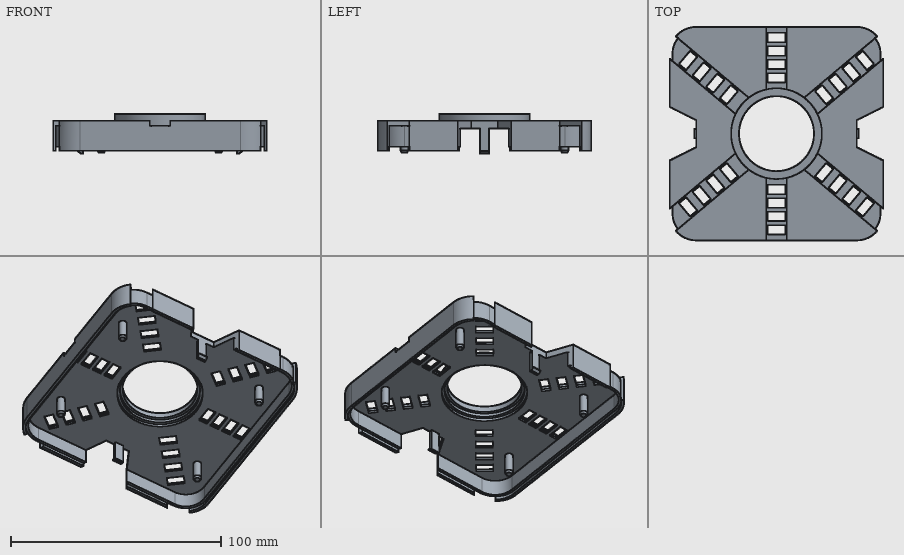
import cadquery as cq

total_height = 18.9
deck_top = 15.6
groove_floor = 13.2
deck_underside = 11.9
inner_wall_bottom = 3.1
skin_bottom = 1.2
pin_bottom = 0.4

side = 101.6
corner_radius = 12.7
skin_thickness = 1.3
wall_depth = 2.5

notch_mouth = 25.4
notch_end_width = 12.8
notch_end_x = 38.2

ring_diameter = 43.2
bore_diameter = 35.6
middle_bore_diameter = 38.1
lower_bore_diameter = 40.6
middle_bore_top = 15.4
lower_bore_top = 13.5

groove_width = 10.0
diagonal_angle = 40.0
diagonal_offset = 0.36
window_count = 4
window_length = 8.1
window_width = 4.4
straight_first_window = 26.5
straight_window_pitch = 6.4
diagonal_first_window = 29.3
diagonal_window_pitch = 8.4

pin_diameter = 3.9
pin_chamfer_height = 1.2
pin_chamfer_inset = 0.6
pin_x = 27.8
pin_y = 38.1

clip_width = 4.5
clip_thickness = 1.6
hook_reach = 0.9
hook_lip = 0.2
hook_tip_width = 1.0


def rounded_block(inset, bottom, top):
    """Block with the plate outline moved inwards by the inset."""
    width = side - 2 * inset
    block = cq.Workplane("XY").workplane(offset=bottom).rect(width, width).extrude(top - bottom)
    return block.edges("|Z").fillet(corner_radius - inset)


def cylinder(diameter, bottom, top):
    return cq.Workplane("XY").workplane(offset=bottom).circle(diameter / 2).extrude(top - bottom)


def bar(angle, offset, start, length, width, bottom, top):
    """Upright bar along a radial direction, its centre line shifted sideways by the offset."""
    return (
        cq.Workplane("XY")
        .box(length, width, top - bottom, centered=(False, True, False))
        .translate((start, offset, bottom))
        .rotate((0, 0, 0), (0, 0, 1), angle)
    )


def windows(angle, offset, first, pitch):
    """Row of windows through the groove floor."""
    row = cq.Workplane("XY")
    for index in range(window_count):
        start = first + index * pitch - window_width / 2
        row = row.add(bar(angle, offset, start, window_width, window_length, 0, deck_top))
    return row.combine()


def notch(direction):
    """Tapered cut from an X side towards the ring, through the full height."""
    mouth_x = side / 2
    points = [
        (direction * mouth_x, -notch_mouth / 2),
        (direction * notch_end_x, -notch_end_width / 2),
        (direction * notch_end_x, notch_end_width / 2),
        (direction * mouth_x, notch_mouth / 2),
    ]
    return cq.Workplane("XY").polyline(points).close().extrude(total_height)


def pin(x, y):
    post = cylinder(pin_diameter, pin_bottom, (deck_underside + groove_floor) / 2)
    return post.faces("<Z").chamfer(pin_chamfer_height, pin_chamfer_inset).translate((x, y, 0))


def clip():
    """Arm hanging from the notch end on the +X side, with an outward hook at its tip."""
    inner_x = notch_end_x - clip_thickness
    profile = [
        (inner_x, deck_top),
        (inner_x, 0),
        (inner_x + hook_tip_width, 0),
        (notch_end_x + hook_reach, skin_bottom - hook_lip),
        (notch_end_x + hook_reach, skin_bottom),
        (notch_end_x, skin_bottom),
        (notch_end_x, deck_top),
    ]
    return cq.Workplane("XZ").polyline(profile).close().extrude(clip_width / 2, both=True)


straight_grooves = [(90, 0), (-90, 0)]
diagonal_grooves = [
    (diagonal_angle, -diagonal_offset),
    (180 - diagonal_angle, diagonal_offset),
    (180 + diagonal_angle, -diagonal_offset),
    (-diagonal_angle, diagonal_offset),
]

skin = rounded_block(0, skin_bottom, deck_top).cut(rounded_block(skin_thickness, 0, groove_floor))
for angle, offset in diagonal_grooves:
    skin = skin.cut(bar(angle, offset, 0, side, groove_width, 0, total_height))
for angle, offset in straight_grooves:
    skin = skin.cut(bar(angle, offset, 0, side, groove_width, groove_floor, total_height))

shell = rounded_block(skin_thickness, inner_wall_bottom, groove_floor)
shell = shell.cut(rounded_block(wall_depth, 0, deck_underside))
body = skin.union(shell)

for angle, offset in diagonal_grooves:
    body = body.cut(windows(angle, offset, diagonal_first_window, diagonal_window_pitch))
for angle, offset in straight_grooves:
    body = body.cut(windows(angle, offset, straight_first_window, straight_window_pitch))
for direction in (1, -1):
    body = body.cut(notch(direction))

body = body.union(cylinder(ring_diameter, deck_underside, total_height))
body = body.cut(cylinder(bore_diameter, 0, total_height))
body = body.cut(cylinder(middle_bore_diameter, 0, middle_bore_top))
body = body.cut(cylinder(lower_bore_diameter, 0, lower_bore_top))

for x in (-pin_x, pin_x):
    for y in (-pin_y, pin_y):
        body = body.union(pin(x, y))
result = body.union(clip()).union(clip().mirror("YZ"))